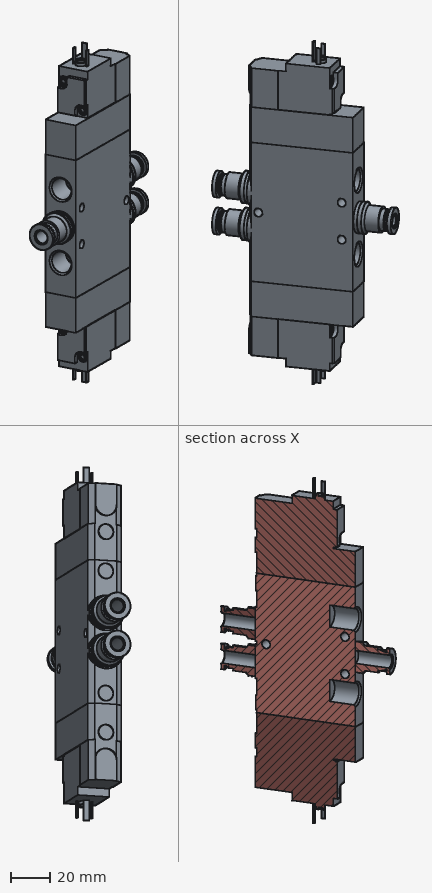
import cadquery as cq


OVERALL_LENGTH = 184.0
FITTING_TIP_SPAN = 96.2
BODY_WIDTH = 18.0
BODY_HALF_LENGTH = 37.4
FRONT_Y = -28.5
BACK_Y = 28.0
BACK_BEVEL_X = 3.1
BACK_BEVEL_Y = 1.8
PORT_SPACING = 19.9
EXHAUST_PORT_BORE = 11.5
EXHAUST_PORT_MOUTH = 13.2
EXHAUST_PORT_DEPTH = 14.7
MOUNTING_HOLE = 4.5
MOUNTING_HOLE_Y = 22.5
BOSS_DIAMETER = 18.2
BOSS_TOP_Y = 28.7
BOSS_ROOT_DEPTH = 5.5

PAD_DIAMETER = 8.0
PAD_TOP_Y = 28.7
BODY_PAD_Z = 31.8
BODY_PAD_TOP_Y = 28.3
CAP_PAD_Z = 52.3
LONG_PAD_WIDTH = 11.5
LONG_PAD_BOTTOM_Z = 60.7

CAP_WIDTH = 17.8
CAP_TOP_Z = 56.3
REAR_BLOCK_WIDTH = 17.7
SHOULDER_Z = 77.3
SOLENOID_WIDTH = 17.0
SOLENOID_TOP_Z = 81.5
SOLENOID_BACK_Y = 12.0
SOLENOID_STEP_Y = 7.7
SOLENOID_FRONT_Y = -15.8
COVER_SEAT_Y = -17.1
COVER_FRONT_Y = -18.2
COVER_BOTTOM_Z = 56.7
COVER_INSET = 0.5
SCREW_X = 5.7
SCREW_TOP_Z = 73.8
SCREW_POCKET_RADIUS = 3.3
SCREW_HEAD_DIAMETER = 5.5
SCREW_HEAD_TOP = 4.0
SCREW_HEAD_HEIGHT = 0.5
SCREW_SOCKET = 2.5

CONNECTOR_Y = -8.3
CONNECTOR_STEPS = [(5.5, 1.7), (4.5, 1.1)]
CONNECTOR_HOLE = 2.0
CONTACT_THICKNESS = 0.7
SIDE_CONTACT_X = 3.9
SIDE_CONTACT_DEPTH = 2.0
SIDE_CONTACT_TOP_Z = 90.0
REAR_CONTACT_Y = -4.5
REAR_CONTACT_WIDTH = 3.0

TIP_DIAMETER = 13.8
TIP_LENGTH = 2.0
TIP_NECK_DIAMETER = 9.4
TIP_NECK_END = 2.8
SLEEVE_DIAMETER = 11.5
SLEEVE_END = 6.8
BARREL_DIAMETER = 13.6
BARREL_END = 14.2
SHANK_DIAMETER = 16.4
RING_DIAMETER = 17.0
OUTER_RING_START = 15.5
INNER_RING_START = 17.7
SLOT_COUNT = 20
SLOT_WIDTH = 0.7
SLOT_LENGTH = 1.7
SLOT_DEPTH = 0.5
FITTING_BORE = 6.6
FITTING_MOUTH = 8.0

HALF_LENGTH = OVERALL_LENGTH / 2
TIP_Y = FITTING_TIP_SPAN / 2
PAD_ROOT_Y = BACK_Y - BACK_BEVEL_Y


def block(x_min, x_max, y_min, y_max, z_min, z_max):
    """Axis-aligned box between two opposite corners."""
    size = (x_max - x_min, y_max - y_min, z_max - z_min)
    return cq.Workplane("XY").box(*size, centered=False).translate((x_min, y_min, z_min))


def centered_block(width, y_min, y_max, z_min, z_max):
    """Axis-aligned box centred on X = 0."""
    return block(-width / 2, width / 2, y_min, y_max, z_min, z_max)


def y_cylinder(diameter, x, z, y_min, y_max):
    """Cylinder along Y."""
    disc = cq.Workplane("XZ").center(x, z).circle(diameter / 2)
    return disc.extrude(y_max - y_min).translate((0, y_max, 0))


def y_cone(front_diameter, back_diameter, x, z, y_min, y_max):
    """Cone frustum along Y."""
    cone = cq.Solid.makeCone(front_diameter / 2, back_diameter / 2, y_max - y_min,
                             pnt=cq.Vector(x, y_min, z), dir=cq.Vector(0, 1, 0))
    return cq.Workplane(cone)


def beveled_block(width, y_min, z_min, z_max):
    """Block reaching the back face, with its two back edges bevelled."""
    half = width / 2
    bevel_y = BACK_Y - BACK_BEVEL_Y
    outline = [
        (-half, y_min),
        (half, y_min),
        (half, bevel_y),
        (half - BACK_BEVEL_X, BACK_Y),
        (BACK_BEVEL_X - half, BACK_Y),
        (-half, bevel_y),
    ]
    return cq.Workplane("XY").polyline(outline).close().extrude(z_max - z_min).translate((0, 0, z_min))


def make_boss(z):
    """Round seat for a back fitting, with flats flush with the sides of the body."""
    root_y = BOSS_TOP_Y - BOSS_ROOT_DEPTH
    envelope = centered_block(BODY_WIDTH, root_y, BOSS_TOP_Y, z - BOSS_DIAMETER, z + BOSS_DIAMETER)
    return y_cylinder(BOSS_DIAMETER, 0, z, root_y, BOSS_TOP_Y).intersect(envelope)


def make_body():
    """Valve body with three cross holes, two open front ports and two back fitting seats."""
    body = beveled_block(BODY_WIDTH, FRONT_Y, -BODY_HALF_LENGTH, BODY_HALF_LENGTH)
    mouth_bevel = (EXHAUST_PORT_MOUTH - EXHAUST_PORT_BORE) / 2
    for side in (-1, 1):
        body = body.union(make_boss(side * PORT_SPACING / 2))
        body = body.union(y_cylinder(PAD_DIAMETER, 0, side * BODY_PAD_Z, PAD_ROOT_Y, BODY_PAD_TOP_Y))

        port_z = side * PORT_SPACING
        port = y_cylinder(EXHAUST_PORT_BORE, 0, port_z, FRONT_Y, FRONT_Y + EXHAUST_PORT_DEPTH)
        mouth = y_cone(EXHAUST_PORT_MOUTH, EXHAUST_PORT_BORE, 0, port_z, FRONT_Y, FRONT_Y + mouth_bevel)
        body = body.cut(port).cut(mouth)

    hole_centers = [
        (MOUNTING_HOLE_Y, 0),
        (-MOUNTING_HOLE_Y, PORT_SPACING / 2),
        (-MOUNTING_HOLE_Y, -PORT_SPACING / 2),
    ]
    holes = cq.Workplane("YZ").pushPoints(hole_centers).circle(MOUNTING_HOLE / 2)
    holes = holes.extrude(BODY_WIDTH / 2, both=True)
    return body.cut(holes)


def make_cover():
    """Front of the solenoid with its inset plate, notched around the screws at two opposite corners."""
    seat = centered_block(SOLENOID_WIDTH, COVER_SEAT_Y, SOLENOID_FRONT_Y, COVER_BOTTOM_Z, SHOULDER_Z)
    plate = centered_block(SOLENOID_WIDTH - 2 * COVER_INSET, COVER_FRONT_Y, COVER_SEAT_Y,
                           COVER_BOTTOM_Z + COVER_INSET, SHOULDER_Z)
    notch = block(-SOLENOID_WIDTH / 2, SCREW_POCKET_RADIUS - SCREW_X, COVER_FRONT_Y, SOLENOID_FRONT_Y,
                  SCREW_TOP_Z - SCREW_POCKET_RADIUS, SHOULDER_Z)
    notch = notch.edges("|Y and >X and <Z").fillet(SCREW_POCKET_RADIUS)
    middle_z = (COVER_BOTTOM_Z + SHOULDER_Z) / 2
    opposite_notch = notch.rotate((0, 0, middle_z), (0, 1, middle_z), 180)
    return seat.union(plate).cut(notch).cut(opposite_notch)


def make_screw_head(x, z):
    """Low conical screw head with a round socket."""
    head_front = SOLENOID_FRONT_Y - SCREW_HEAD_HEIGHT
    head = y_cone(SCREW_HEAD_TOP, SCREW_HEAD_DIAMETER, x, z, head_front, SOLENOID_FRONT_Y)
    return head.cut(y_cylinder(SCREW_SOCKET, x, z, head_front, SOLENOID_FRONT_Y))


def make_connector():
    """Stepped round post with three flat contacts on top of the solenoid."""
    connector = cq.Workplane("XY").workplane(offset=SOLENOID_TOP_Z).center(0, CONNECTOR_Y)
    for diameter, height in CONNECTOR_STEPS:
        connector = connector.circle(diameter / 2).extrude(height).faces(">Z").workplane()
    connector = connector.hole(CONNECTOR_HOLE, CONNECTOR_STEPS[-1][1])

    half_thickness = CONTACT_THICKNESS / 2
    rear_contact = centered_block(REAR_CONTACT_WIDTH, REAR_CONTACT_Y - half_thickness,
                                  REAR_CONTACT_Y + half_thickness, SOLENOID_TOP_Z, HALF_LENGTH)
    connector = connector.union(rear_contact)
    for side in (-1, 1):
        contact = centered_block(CONTACT_THICKNESS, CONNECTOR_Y - SIDE_CONTACT_DEPTH / 2,
                                 CONNECTOR_Y + SIDE_CONTACT_DEPTH / 2, SOLENOID_TOP_Z, SIDE_CONTACT_TOP_Z)
        connector = connector.union(contact.translate((side * SIDE_CONTACT_X, 0, 0)))
    return connector


def make_back_pads():
    """Raised pads on the back of a pilot end: a disc, and a long pad with a rounded lower end."""
    rounded_z = LONG_PAD_BOTTOM_Z + LONG_PAD_WIDTH / 2
    pads = y_cylinder(PAD_DIAMETER, 0, CAP_PAD_Z, PAD_ROOT_Y, PAD_TOP_Y)
    pads = pads.union(y_cylinder(LONG_PAD_WIDTH, 0, rounded_z, PAD_ROOT_Y, PAD_TOP_Y))
    return pads.union(centered_block(LONG_PAD_WIDTH, PAD_ROOT_Y, PAD_TOP_Y, rounded_z, SHOULDER_Z))


def make_pilot_end():
    """Pilot end at the +Z side of the valve body."""
    end = beveled_block(CAP_WIDTH, FRONT_Y, BODY_HALF_LENGTH, CAP_TOP_Z)
    end = end.union(beveled_block(REAR_BLOCK_WIDTH, SOLENOID_BACK_Y, CAP_TOP_Z, SHOULDER_Z))
    end = end.union(centered_block(SOLENOID_WIDTH, SOLENOID_FRONT_Y, SOLENOID_BACK_Y, CAP_TOP_Z, SHOULDER_Z))
    end = end.union(
        centered_block(SOLENOID_WIDTH, SOLENOID_FRONT_Y, SOLENOID_STEP_Y, SHOULDER_Z, SOLENOID_TOP_Z)
    )
    end = end.union(make_cover())
    screw_bottom_z = COVER_BOTTOM_Z + SHOULDER_Z - SCREW_TOP_Z
    end = end.union(make_screw_head(-SCREW_X, SCREW_TOP_Z))
    end = end.union(make_screw_head(SCREW_X, screw_bottom_z))
    return end.union(make_connector()).union(make_back_pads())


def make_fitting(length):
    """Push-in fitting along +Y with its tip at Y = 0 and its seat at Y = length."""
    tip = TIP_DIAMETER / 2
    neck = TIP_NECK_DIAMETER / 2
    sleeve = SLEEVE_DIAMETER / 2
    barrel = BARREL_DIAMETER / 2
    shank = SHANK_DIAMETER / 2
    ring = RING_DIAMETER / 2
    bore = FITTING_BORE / 2
    mouth = FITTING_MOUTH / 2
    profile = [
        (mouth, 0), (tip, 0), (tip, TIP_LENGTH),
        (neck, TIP_LENGTH), (neck, TIP_NECK_END),
        (sleeve, TIP_NECK_END), (sleeve, SLEEVE_END),
        (barrel, SLEEVE_END), (barrel, BARREL_END),
        (shank, OUTER_RING_START), (ring, OUTER_RING_START),
        (shank, INNER_RING_START), (ring, INNER_RING_START), (shank, length),
        (bore, length), (bore, mouth - bore),
    ]
    fitting = cq.Workplane("XY").polyline(profile).close().revolve(360, (0, 0, 0), (0, 1, 0))

    slot = block(-SLOT_WIDTH / 2, SLOT_WIDTH / 2, TIP_NECK_END, TIP_NECK_END + SLOT_LENGTH,
                 sleeve - SLOT_DEPTH, sleeve + SLOT_DEPTH)
    for index in range(SLOT_COUNT):
        fitting = fitting.cut(slot.rotate((0, 0, 0), (0, 1, 0), index * 360 / SLOT_COUNT))
    return fitting


body = make_body()

pilot_ends = []
for turn in (0, 180):
    pilot_ends.append(make_pilot_end().rotate((0, 0, 0), (0, 1, 0), turn))

front_fitting = make_fitting(TIP_Y + FRONT_Y).translate((0, -TIP_Y, 0))

back_fittings = []
for side in (-1, 1):
    fitting = make_fitting(TIP_Y - BOSS_TOP_Y).rotate((0, 0, 0), (0, 0, 1), 180)
    back_fittings.append(fitting.translate((0, TIP_Y, side * PORT_SPACING / 2)))

bodies = [body, *pilot_ends, front_fitting, *back_fittings]
result = cq.Compound.makeCompound([solid.val() for solid in bodies])